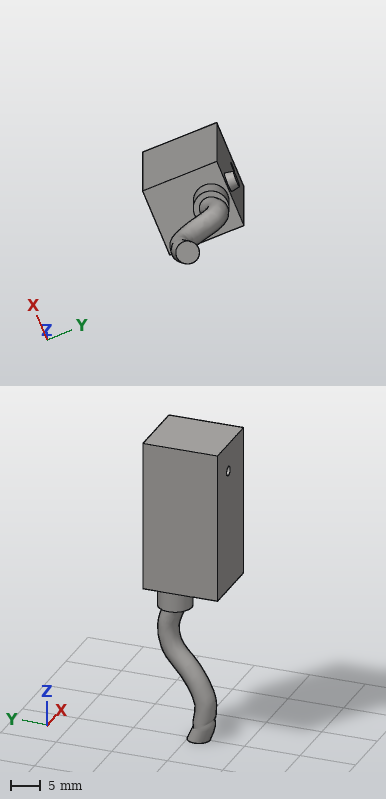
import cadquery as cq
import math

body_width = 12.0
body_depth = 13.45
body_height = 27.0
back_face_y = body_depth / 2

side_offset = 1.0
hole_diameter = 1.6
hole_below_top = 5.0
button_base_diameter = 3.35
button_tip_diameter = 2.8
button_length = 1.5
button_height = 4.0

collar_diameter = 6.0
collar_length = 5.0
collar_from_back = 3.5
collar_y = back_face_y - collar_from_back

cable_diameter = 4.0
overall_height = 56.1
cable_drop = overall_height - body_height - collar_length
cable_end_shift = 4.25
cable_tilt = 23
cable_waypoints = [
    (1.2, 4.75),
    (0.15, 8.15),
    (-2.15, 10.95),
    (-4.6, 14.75),
    (-5.5, 18.3),
    (-5.2, 20.75),
]


def make_body():
    body = cq.Workplane("XY").box(body_width, body_depth, body_height, centered=(True, True, False))
    hole = (
        cq.Workplane("XZ", origin=(-side_offset, back_face_y, body_height - hole_below_top))
        .circle(hole_diameter / 2)
        .extrude(body_depth)
    )
    return body.cut(hole)


def make_button():
    taper = math.degrees(math.atan((button_base_diameter - button_tip_diameter) / 2 / button_length))
    return (
        cq.Workplane("XZ", origin=(side_offset, back_face_y, button_height))
        .circle(button_base_diameter / 2)
        .extrude(-button_length, taper=taper)
    )


def make_collar():
    return cq.Workplane("XY").center(0, collar_y).circle(collar_diameter / 2).extrude(-collar_length)


def make_cable():
    """Sweep a horizontal circle down the S-shaped centre line, which leaves the collar at a tilt."""
    start = (0, collar_y, -collar_length)
    shifts_and_drops = [(0, 0)] + cable_waypoints + [(-cable_end_shift, cable_drop)]
    points = [(shift, -drop) for shift, drop in shifts_and_drops]
    tilt = math.radians(cable_tilt)
    end_tangent = (math.sin(tilt), -math.cos(tilt))
    path = cq.Workplane("YZ", origin=start).spline(points, tangents=[end_tangent, end_tangent])
    return cq.Workplane("XY", origin=start).circle(cable_diameter / 2).sweep(path)


result = make_body().union(make_button()).union(make_collar()).union(make_cable())